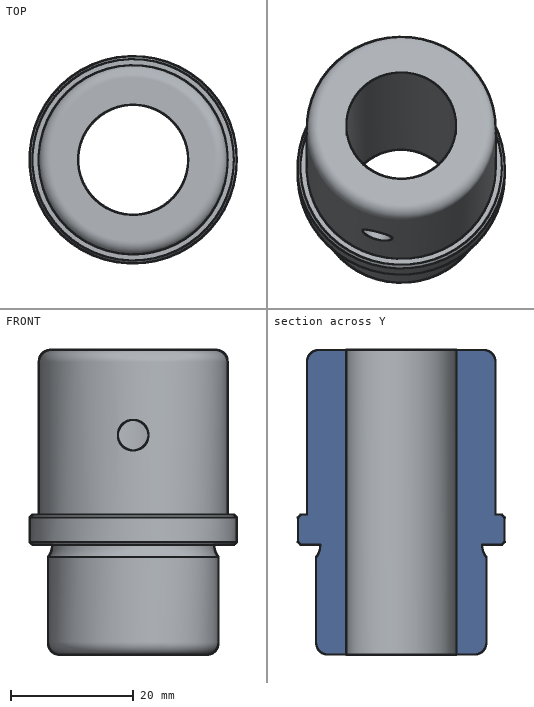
import cadquery as cq

total_height = 50.0
bore_diameter = 18.0

spigot_radius = 28.0 / 2
spigot_round = 2.0

neck_height = 2.0
neck_depth = 0.7

flange_radius = 34.0 / 2
flange_bottom = 18.0
flange_thickness = 5.0
flange_chamfer = 0.5

sleeve_radius = 31.0 / 2
sleeve_round = 2.0

cross_hole_diameter = 5.0
cross_hole_height = 36.0


def make_spigot():
    """Lower cylinder with a rounded bottom edge and a concave neck under the flange."""
    neck_start = flange_bottom - neck_height
    neck_radius = spigot_radius - neck_depth
    neck_arc_radius = (neck_height**2 + neck_depth**2) / (2 * neck_depth)
    profile = (
        cq.Workplane("XZ")
        .moveTo(0, flange_bottom)
        .lineTo(neck_radius, flange_bottom)
        .radiusArc((spigot_radius, neck_start), -neck_arc_radius)
        .lineTo(spigot_radius, 0)
        .lineTo(0, 0)
        .close()
    )
    return profile.revolve(360, (0, 0, 0), (0, 1, 0)).faces("<Z").edges().fillet(spigot_round)


def make_flange():
    """Collar with both rims chamfered."""
    collar = cq.Workplane("XY").workplane(offset=flange_bottom)
    collar = collar.circle(flange_radius).extrude(flange_thickness)
    return collar.edges().chamfer(flange_chamfer)


def make_sleeve():
    """Upper cylinder with a rounded top edge."""
    flange_top = flange_bottom + flange_thickness
    sleeve = cq.Workplane("XY").workplane(offset=flange_top)
    sleeve = sleeve.circle(sleeve_radius).extrude(total_height - flange_top)
    return sleeve.faces(">Z").edges().fillet(sleeve_round)


def make_bore():
    """Axial through bore."""
    return cq.Workplane("XY").circle(bore_diameter / 2).extrude(total_height)


def make_cross_hole():
    """Radial hole from the axis out through the -Y wall."""
    drill = cq.Workplane("XZ").center(0, cross_hole_height)
    return drill.circle(cross_hole_diameter / 2).extrude(flange_radius)


body = make_spigot().union(make_flange()).union(make_sleeve())
result = body.cut(make_bore()).cut(make_cross_hole())